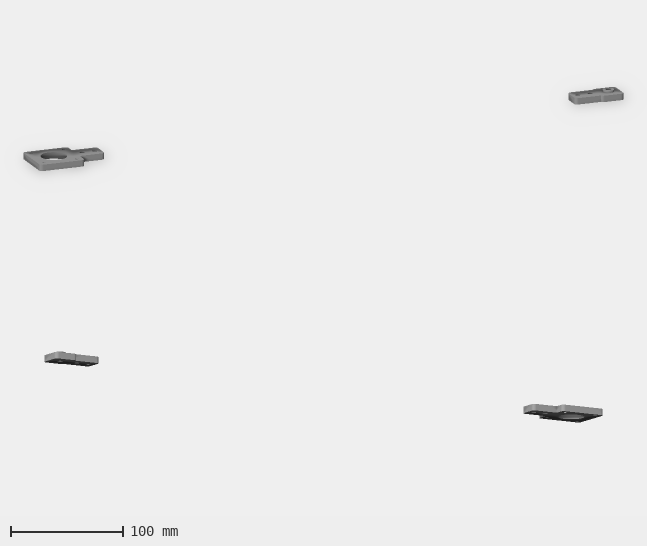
import cadquery as cq

overall_height = 8.0
boss_height = 2.0
plate_thickness = overall_height - boss_height
overall_length = 565.5
corner_radius = 3.0
tongue_width = 19.0
tongue_axis_x = -1.25
tongue_hole_diameter = 4.5
tongue_hole_spacing = 12.0
tip_to_first_hole = 6.0

flange_width = 42.5
flange_length = 43.0
motor_bore_diameter = 24.0
motor_screw_diameter = 3.2
motor_screw_spacing = 31.0
motor_tongue_length = 24.5

head_width = 22.5
head_length = 22.0
idler_length = 46.5
boss_diameter = 10.0
idler_bore_diameter = 5.5
head_end_to_bore = 11.0

flange_half = flange_length / 2
motor_tip_y = flange_half + motor_tongue_length
idler_end_y = overall_length - flange_half
head_inner_y = idler_end_y - head_length
idler_tip_y = idler_end_y - idler_length
idler_bore_y = idler_end_y - head_end_to_bore


def rounded_block(center_x, width, y_low, y_high):
    """Plate-thick block with its four upright corners rounded."""
    return (
        cq.Workplane("XY")
        .center(center_x, (y_low + y_high) / 2)
        .rect(width, y_high - y_low)
        .extrude(plate_thickness)
        .edges("|Z")
        .fillet(corner_radius)
    )


def through_holes(points, diameter):
    """Upright cutters through a plate and its boss."""
    depth = plate_thickness + boss_height
    return cq.Workplane("XY").pushPoints(points).circle(diameter / 2).extrude(depth)


def tongue_holes(tip_y, inward):
    """Cutters for the two tongue holes; inward is the Y direction from the tip to the plate."""
    first_y = tip_y + inward * tip_to_first_hole
    second_y = first_y + inward * tongue_hole_spacing
    return through_holes([(tongue_axis_x, first_y), (tongue_axis_x, second_y)], tongue_hole_diameter)


def make_motor_plate():
    flange = rounded_block(0, flange_width, -flange_half, flange_half)
    tongue = rounded_block(tongue_axis_x, tongue_width, 0, motor_tip_y)
    plate = flange.union(tongue)
    half_spacing = motor_screw_spacing / 2
    screw_points = [(x, y) for x in (-half_spacing, half_spacing) for y in (-half_spacing, half_spacing)]
    plate = plate.cut(through_holes([(0, 0)], motor_bore_diameter))
    plate = plate.cut(through_holes(screw_points, motor_screw_diameter))
    return plate.cut(tongue_holes(motor_tip_y, -1))


def make_idler_plate():
    head = rounded_block(tongue_axis_x, head_width, head_inner_y, idler_end_y)
    tongue = rounded_block(tongue_axis_x, tongue_width, idler_tip_y, idler_bore_y)
    boss = (
        cq.Workplane("XY", origin=(tongue_axis_x, idler_bore_y, plate_thickness))
        .circle(boss_diameter / 2)
        .extrude(boss_height)
    )
    plate = head.union(tongue).union(boss)
    plate = plate.cut(through_holes([(tongue_axis_x, idler_bore_y)], idler_bore_diameter))
    return plate.cut(tongue_holes(idler_tip_y, 1))


motor_plate = make_motor_plate()
idler_plate = make_idler_plate()

result = cq.Compound.makeCompound([motor_plate.val(), idler_plate.val()])